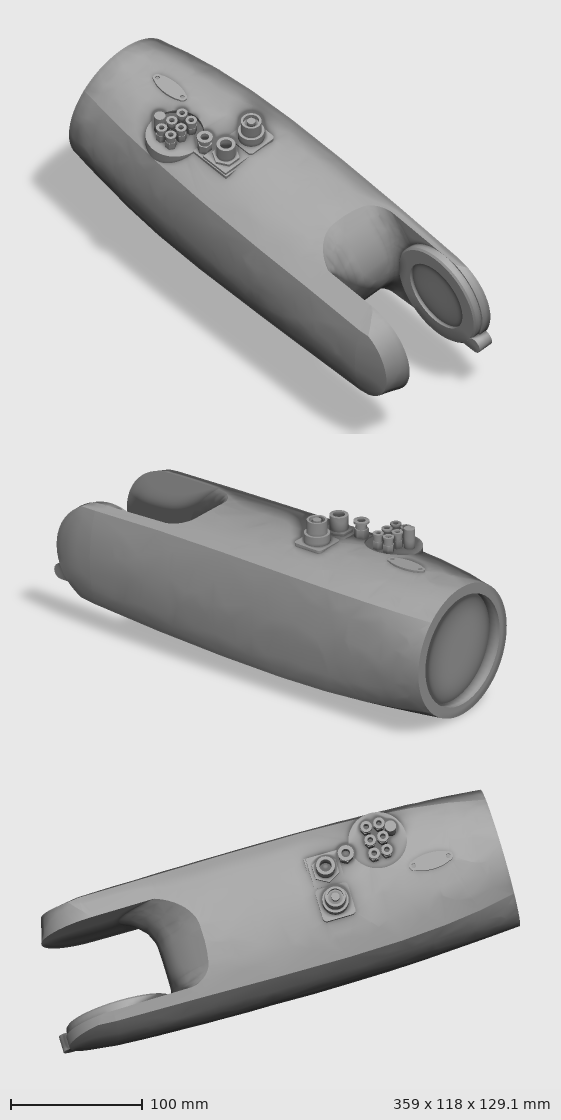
import cadquery as cq
import math


SOCKET_END_RADIUS = 54.0
FACET_START_X = 318.0
FORK_TIP_X = 359.0


def body_section(x, crown, left_y, left_corner, right_y, right_corner):
    """Four-arc section: crown is the top and bottom height, left is +Y and right is -Y.

    Each corner is a (y, z) pair, mirrored about Z = 0.
    """
    ly, lz = left_corner
    ry, rz = right_corner
    return (
        cq.Workplane("YZ", origin=(x, 0, 0))
        .moveTo(ly, lz)
        .threePointArc((0, crown), (ry, rz))
        .threePointArc((right_y, 0), (ry, -rz))
        .threePointArc((0, -crown), (ly, -lz))
        .threePointArc((left_y, 0), (ly, lz))
        .close()
        .wires()
        .val()
    )


def make_body():
    """Smooth skin up to the facets, then straight tapering facets to the tip."""
    diagonal = SOCKET_END_RADIUS * math.sqrt(0.5)
    socket_end = body_section(
        x=0, crown=SOCKET_END_RADIUS,
        left_y=SOCKET_END_RADIUS, left_corner=(diagonal, diagonal),
        right_y=-SOCKET_END_RADIUS, right_corner=(-diagonal, diagonal),
    )
    shoulder = body_section(
        x=62.5, crown=55.0,
        left_y=56.5, left_corner=(48.5, 42.5),
        right_y=-57.8, right_corner=(-47.7, 41.3),
    )
    middle = body_section(
        x=154.5, crown=54.0,
        left_y=57.8, left_corner=(51.7, 44.0),
        right_y=-59.5, right_corner=(-52.8, 39.0),
    )
    fork_root = body_section(
        x=237, crown=50.3,
        left_y=57.8, left_corner=(50.3, 43.0),
        right_y=-60.0, right_corner=(-53.0, 36.5),
    )
    facet_start = body_section(
        x=FACET_START_X, crown=47.5,
        left_y=55.0, left_corner=(48.5, 39.5),
        right_y=-58.5, right_corner=(-53.0, 33.7),
    )
    tip = body_section(
        x=FORK_TIP_X, crown=46.0,
        left_y=48.0, left_corner=(45.2, 36.5),
        right_y=-51.5, right_corner=(-48.5, 31.5),
    )
    main = cq.Solid.makeLoft([socket_end, shoulder, middle, fork_root, facet_start], False)
    facets = cq.Solid.makeLoft([facet_start, tip], True)
    return cq.Workplane(main).union(cq.Workplane(facets))


NOSE_X = 311.3
NOSE_RADIUS = 43.8
RIGHT_INNER_Y = -34.0
RIGHT_NOSE_INNER_RADIUS = 41.5
RIGHT_NOSE_OUTER_RADIUS = 34.0
TRIM_HALF_WIDTH = 61.0
TRIM_HALF_HEIGHT = 71.8
REAR_CLEARANCE = 3.5


def make_nose_envelope():
    """Everything behind the nose axis, plus a turned nose that tapers on the -Y arm."""
    behind = cq.Workplane("XY").box(
        NOSE_X + REAR_CLEARANCE, 2 * TRIM_HALF_WIDTH, 2 * TRIM_HALF_HEIGHT, centered=(False, True, True)
    ).translate((-REAR_CLEARANCE, 0, 0))
    nose = (
        cq.Workplane("XY")
        .moveTo(NOSE_X, TRIM_HALF_WIDTH)
        .lineTo(NOSE_X + NOSE_RADIUS, TRIM_HALF_WIDTH)
        .lineTo(NOSE_X + NOSE_RADIUS, 0)
        .lineTo(NOSE_X + RIGHT_NOSE_INNER_RADIUS, RIGHT_INNER_Y)
        .lineTo(NOSE_X + RIGHT_NOSE_OUTER_RADIUS, -TRIM_HALF_WIDTH)
        .lineTo(NOSE_X, -TRIM_HALF_WIDTH)
        .close()
        .revolve(360, (NOSE_X, 0, 0), (NOSE_X, 1, 0))
    )
    return behind.union(nose)


LEFT_INNER_Y = 40.5
WALL_WAIST_X = 268.5
WALL_FLARE = 36.5
FLARE_HEIGHT = 54.0
WAIST_REACH = 23.5
FLARED_REACH = 16.0
SWEEP_BOW = 0.28
SWEEP_BOW_Y = -22.5
OPENING_END_X = 395.0


def opening_outline(wall_x, right_reach, z):
    """Plan of the opening at height z.

    The wall rounds into the +Y arm, and sweeps forward by right_reach to meet the -Y arm.
    """
    left_round_length = 15.0
    left_round_start_y = 26.5
    left_round_middle = (wall_x + 4.0, 36.3)
    sweep_middle = (wall_x + SWEEP_BOW * right_reach, SWEEP_BOW_Y)
    return (
        cq.Workplane("XY", origin=(0, 0, z))
        .moveTo(OPENING_END_X, LEFT_INNER_Y)
        .lineTo(wall_x + left_round_length, LEFT_INNER_Y)
        .threePointArc(left_round_middle, (wall_x, left_round_start_y))
        .lineTo(wall_x, 0)
        .threePointArc(sweep_middle, (wall_x + right_reach, RIGHT_INNER_Y))
        .lineTo(OPENING_END_X, RIGHT_INNER_Y)
        .close()
        .wires()
        .val()
    )


def make_opening():
    """The end wall bulges forward at mid height and flares back to the top and bottom."""
    flared_x = WALL_WAIST_X - WALL_FLARE
    sections = [
        opening_outline(flared_x, FLARED_REACH, -FLARE_HEIGHT),
        opening_outline(WALL_WAIST_X, WAIST_REACH, 0),
        opening_outline(flared_x, FLARED_REACH, FLARE_HEIGHT),
    ]
    return cq.Workplane(cq.Solid.makeLoft(sections, False))


DISC_FACE_Y = 33.7
DISC_RADIUS = 42.5
DISC_CHAMFER = 1.5
DISC_RECESS_RADIUS = 28.7
DISC_RECESS_DEPTH = 3.0
LUG_RADIUS = 6.5
LUG_X = FORK_TIP_X - LUG_RADIUS
LUG_Z = -23.0
LUG_OUTER_Y = 46.5
LUG_ROOT_LENGTH = 15.0


def cylinder_along_y(x, z, radius, y_start, y_end):
    return cq.Workplane("XZ", origin=(x, y_start, z)).circle(radius).extrude(y_start - y_end)


def make_joint_disc():
    disc = cylinder_along_y(NOSE_X, 0, DISC_RADIUS, DISC_FACE_Y, LEFT_INNER_Y)
    disc = disc.faces("<Y").chamfer(DISC_CHAMFER)
    recess = cylinder_along_y(NOSE_X, 0, DISC_RECESS_RADIUS, DISC_FACE_Y, DISC_FACE_Y + DISC_RECESS_DEPTH)
    return disc.cut(recess)


def make_lug():
    lug = cylinder_along_y(LUG_X, LUG_Z, LUG_RADIUS, DISC_FACE_Y, LUG_OUTER_Y)
    root = cq.Workplane("XY").box(
        LUG_ROOT_LENGTH, LUG_OUTER_Y - DISC_FACE_Y, LUG_RADIUS, centered=False
    ).translate((LUG_X - LUG_ROOT_LENGTH, DISC_FACE_Y, LUG_Z - LUG_RADIUS))
    return lug.union(root)


SOCKET_RADIUS = 45.2
SOCKET_DEPTH = 10.0

FITTING_ROOT_Z = 43.0


def post(x, y, radius, bottom, top):
    return cq.Workplane("XY", origin=(x, y, bottom)).circle(radius).extrude(top - bottom)


def plate(x, y, length, width, top):
    height = top - FITTING_ROOT_Z
    return cq.Workplane("XY", origin=(x, y, FITTING_ROOT_Z)).rect(length, width).extrude(height)


def hex_post(x, y, corner_radius, corner_angle, bottom, top):
    """Hexagon with one corner at corner_angle degrees from +X."""
    return (
        cq.Workplane("XY", origin=(x, y, bottom))
        .transformed(rotate=(0, 0, corner_angle))
        .polygon(6, 2 * corner_radius)
        .extrude(top - bottom)
    )


def hose_fitting(x, y, sizes):
    """Hexagon foot, round stem and a thin collar, with a blind bore from the top."""
    fitting = hex_post(x, y, sizes["hex_radius"], sizes["hex_angle"], FITTING_ROOT_Z, sizes["hex_top"])
    fitting = fitting.union(post(x, y, sizes["stem_radius"], FITTING_ROOT_Z, sizes["top"]))
    collar_bottom = sizes["top"] - sizes["collar_thickness"]
    fitting = fitting.union(post(x, y, sizes["collar_radius"], collar_bottom, sizes["top"]))
    return fitting.cut(post(x, y, sizes["bore_radius"], sizes["hex_top"], sizes["top"]))


PEDESTAL_X = 88.5
PEDESTAL_Y = -27.5
PEDESTAL_RADIUS = 22.3
PEDESTAL_TOP = 51.5
PEDESTAL_ROOT_Z = 32.3
PEDESTAL_CLEARANCE_TOP = 61.0
VALVE_COLUMNS = (84.7, 94.8)
VALVE_CENTRE_Y = -27.0
VALVE_ROW_PITCH = 10.8
SMALL_VALVE = {
    "hex_radius": 4.3,
    "hex_angle": 0,
    "hex_top": 57.8,
    "stem_radius": 3.5,
    "collar_radius": 4.3,
    "collar_thickness": 1.5,
    "bore_radius": 2.0,
    "top": 64.3,
}
PIN_X = 77.2
PIN_Y = -32.3
PIN_RADIUS = 4.3
PIN_TOP = 67.5


def make_pedestal():
    pedestal = post(PEDESTAL_X, PEDESTAL_Y, PEDESTAL_RADIUS, PEDESTAL_ROOT_Z, PEDESTAL_TOP)
    pedestal = pedestal.union(post(PIN_X, PIN_Y, PIN_RADIUS, FITTING_ROOT_Z, PIN_TOP))
    for x in VALVE_COLUMNS:
        for row in (-1, 0, 1):
            pedestal = pedestal.union(hose_fitting(x, VALVE_CENTRE_Y + row * VALVE_ROW_PITCH, SMALL_VALVE))
    return pedestal


LARGE_VALVE_X = 115.5
LARGE_VALVE_Y = -22.0
LARGE_VALVE = {
    "hex_radius": 5.7,
    "hex_angle": 90,
    "hex_top": 60.0,
    "stem_radius": 4.3,
    "collar_radius": 6.0,
    "collar_thickness": 1.8,
    "bore_radius": 3.2,
    "top": 66.5,
}

CONNECTOR_X = 133.2
TALL_Y = 10.0
TALL_PLATE_SIZE = 26.0
TALL_PLATE_CORNER = 3.2
TALL_PLATE_TOP = 55.5
TALL_BASE_RADIUS = 10.0
TALL_BASE_TOP = 63.2
TALL_RADIUS = 8.0
TALL_TOP = 74.0
TALL_BORE_RADIUS = 6.0
TALL_BORE_DEPTH = 3.5
TALL_CORE_RADIUS = 3.2


def make_tall_connector():
    connector = plate(CONNECTOR_X, TALL_Y, TALL_PLATE_SIZE, TALL_PLATE_SIZE, TALL_PLATE_TOP)
    connector = connector.edges("|Z").fillet(TALL_PLATE_CORNER)
    connector = connector.union(post(CONNECTOR_X, TALL_Y, TALL_BASE_RADIUS, FITTING_ROOT_Z, TALL_BASE_TOP))
    connector = connector.union(post(CONNECTOR_X, TALL_Y, TALL_RADIUS, FITTING_ROOT_Z, TALL_TOP))
    bore_bottom = TALL_TOP - TALL_BORE_DEPTH
    connector = connector.cut(post(CONNECTOR_X, TALL_Y, TALL_BORE_RADIUS, bore_bottom, TALL_TOP))
    return connector.union(post(CONNECTOR_X, TALL_Y, TALL_CORE_RADIUS, FITTING_ROOT_Z, TALL_TOP))


SHORT_Y = -16.5
SHORT_PLATE_SIZE = 24.5
SHORT_PLATE_TOP = 54.2
SHORT_HEX_RADIUS = 10.8
SHORT_HEX_ANGLE = 90
SHORT_HEX_TOP = 56.5
SHORT_RADIUS = 7.2
SHORT_TOP = 68.2
SHORT_BORE_RADIUS = 4.5
PAD_START_X = 110.5
PAD_END_X = 147.0
PAD_WIDTH = 26.0
PAD_TOP = 52.0


def make_short_connector():
    pad_length = PAD_END_X - PAD_START_X
    connector = plate(PAD_START_X + pad_length / 2, SHORT_Y, pad_length, PAD_WIDTH, PAD_TOP)
    connector = connector.union(
        plate(CONNECTOR_X, SHORT_Y, SHORT_PLATE_SIZE, SHORT_PLATE_SIZE, SHORT_PLATE_TOP)
    )
    connector = connector.union(
        hex_post(CONNECTOR_X, SHORT_Y, SHORT_HEX_RADIUS, SHORT_HEX_ANGLE, FITTING_ROOT_Z, SHORT_HEX_TOP)
    )
    connector = connector.union(post(CONNECTOR_X, SHORT_Y, SHORT_RADIUS, FITTING_ROOT_Z, SHORT_TOP))
    return connector.cut(post(CONNECTOR_X, SHORT_Y, SHORT_BORE_RADIUS, SHORT_HEX_TOP, SHORT_TOP))


COVER_X = 54.5
COVER_HALF_LENGTH = 16.5
COVER_HALF_WIDTH = 6.5
COVER_TOP = 56.5
SCREW_OFFSET = 13.5
SCREW_EAR_RADIUS = 3.5
SCREW_HOLE_RADIUS = 1.8
SCREW_HOLE_DEPTH = 1.0


def make_cover():
    cover = (
        cq.Workplane("XY", origin=(COVER_X, 0, FITTING_ROOT_Z))
        .ellipse(COVER_HALF_LENGTH, COVER_HALF_WIDTH)
        .extrude(COVER_TOP - FITTING_ROOT_Z)
    )
    for x in (COVER_X - SCREW_OFFSET, COVER_X + SCREW_OFFSET):
        cover = cover.union(post(x, 0, SCREW_EAR_RADIUS, FITTING_ROOT_Z, COVER_TOP))
        cover = cover.cut(post(x, 0, SCREW_HOLE_RADIUS, COVER_TOP - SCREW_HOLE_DEPTH, COVER_TOP))
    return cover


arm = make_body().intersect(make_nose_envelope()).cut(make_opening())
arm = arm.union(make_joint_disc()).union(make_lug())
arm = arm.cut(cq.Workplane("YZ").circle(SOCKET_RADIUS).extrude(SOCKET_DEPTH))
arm = arm.cut(post(PEDESTAL_X, PEDESTAL_Y, PEDESTAL_RADIUS, PEDESTAL_TOP, PEDESTAL_CLEARANCE_TOP))
arm = arm.union(make_pedestal())
arm = arm.union(hose_fitting(LARGE_VALVE_X, LARGE_VALVE_Y, LARGE_VALVE))
arm = arm.union(make_short_connector())
arm = arm.union(make_tall_connector())
arm = arm.union(make_cover())

result = arm